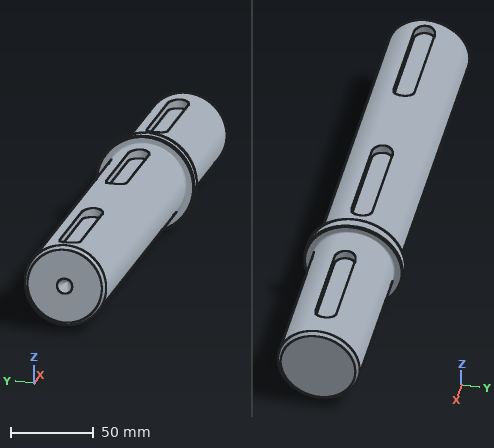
import cadquery as cq

length = 316.0
shaft_radius = 25.3
end_chamfer = 2.2

collar_diameter = 61.0
collar_radius = collar_diameter / 2
collar_start = 208.0
collar_width = 8.0
collar_end = collar_start + collar_width
collar_chamfer = 0.5
root_fillet = 1.0

keyways = [(8.0, 70.0), (127.7, 70.0), (233.3, 66.5)]
keyway_width = 13.0
keyway_depth = 5.7

centre_radius = 4.7
centre_depth = centre_radius * 3**0.5


def make_shaft():
    """Revolve the half outline of the shaft and collar, with concave fillets at the collar root."""
    fillet_top = shaft_radius + root_fillet
    chamfered_radius = shaft_radius - end_chamfer
    collar_edge = collar_radius - collar_chamfer
    return (
        cq.Workplane("XY")
        .lineTo(0, chamfered_radius)
        .lineTo(end_chamfer, shaft_radius)
        .lineTo(collar_start - root_fillet, shaft_radius)
        .radiusArc((collar_start, fillet_top), -root_fillet)
        .lineTo(collar_start, collar_edge)
        .lineTo(collar_start + collar_chamfer, collar_radius)
        .lineTo(collar_end - collar_chamfer, collar_radius)
        .lineTo(collar_end, collar_edge)
        .lineTo(collar_end, fillet_top)
        .radiusArc((collar_end + root_fillet, shaft_radius), -root_fillet)
        .lineTo(length - end_chamfer, shaft_radius)
        .lineTo(length, chamfered_radius)
        .lineTo(length, 0)
        .close()
        .revolve(360, (0, 0, 0), (1, 0, 0))
    )


def make_keyway(start, slot_length):
    """Round-ended cutter whose floor lies keyway_depth below the top of the shaft."""
    return (
        cq.Workplane("XY", origin=(start + slot_length / 2, 0, shaft_radius - keyway_depth))
        .slot2D(slot_length, keyway_width)
        .extrude(keyway_depth)
    )


def make_centre_hole():
    """Cone with its base on the left end face and its point on the shaft axis."""
    return (
        cq.Workplane("XY")
        .lineTo(0, centre_radius)
        .lineTo(centre_depth, 0)
        .close()
        .revolve(360, (0, 0, 0), (1, 0, 0))
    )


result = make_shaft()
for start, slot_length in keyways:
    result = result.cut(make_keyway(start, slot_length))
result = result.cut(make_centre_hole())